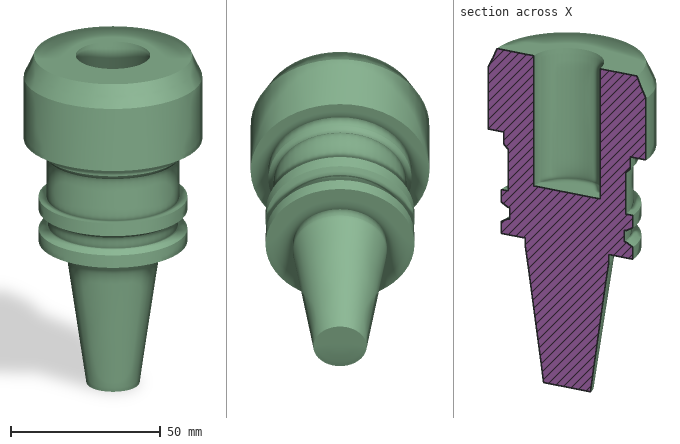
import cadquery as cq

small_end_radius = 17.9 / 2
shank_radius = 31.7 / 2
taper_top = 47.8
flange_bottom = 51.0

flange_radius = 50.0 / 2
groove_radius = 43.6 / 2
ledge_radius = 44.8 / 2
lower_rim_top = 55.5
groove_bottom = 56.9
groove_top = 60.9
upper_rim_bottom = 62.4
flange_top = 67.0

neck_radius = 44.5 / 2
collar_radius = 48.1 / 2
collar_bottom = 82.0
collar_chamfer = 1.6

nut_radius = 60.0 / 2
nut_top_radius = 53.0 / 2
nut_bottom = 87.9
nut_chamfer_bottom = 110.3
total_height = 117.8

bore_radius = 25.0 / 2
bore_depth = 47.1

half_section = [
    (0, 0),
    (small_end_radius, 0),
    (shank_radius, taper_top),
    (shank_radius, flange_bottom),
    (flange_radius, flange_bottom),
    (flange_radius, lower_rim_top),
    (ledge_radius, groove_bottom),
    (groove_radius, groove_bottom),
    (groove_radius, groove_top),
    (ledge_radius, groove_top),
    (flange_radius, upper_rim_bottom),
    (flange_radius, flange_top),
    (neck_radius, flange_top),
    (neck_radius, collar_bottom),
    (collar_radius - collar_chamfer, collar_bottom),
    (collar_radius, collar_bottom + collar_chamfer),
    (collar_radius, nut_bottom),
    (nut_radius, nut_bottom),
    (nut_radius, nut_chamfer_bottom),
    (nut_top_radius, total_height),
    (0, total_height),
]

body = cq.Workplane("XZ").polyline(half_section).close().revolve(360, (0, 0), (0, 1))

result = body.faces(">Z").workplane().circle(bore_radius).cutBlind(-bore_depth)